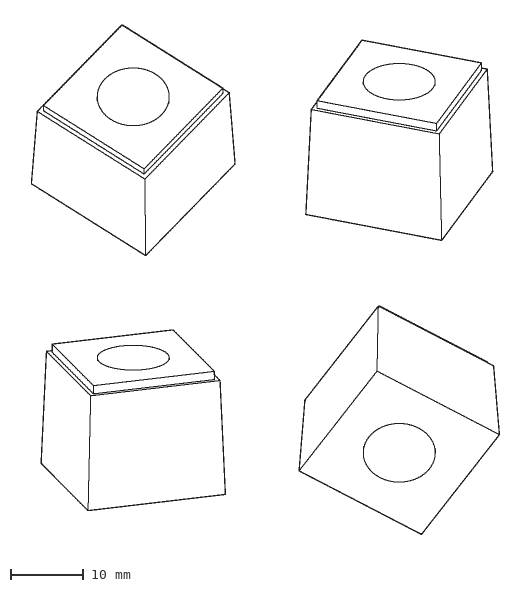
import cadquery as cq

base_side = 19.91
shoulder_side = 18.75
total_height = 17.7

step_side = 17.52
step_height = 1.2
body_height = total_height - step_height

bore_diameter = 9.88


def tapered_body():
    """Square frustum standing on Z = 0."""
    return (
        cq.Workplane("XY")
        .rect(base_side, base_side)
        .workplane(offset=body_height)
        .rect(shoulder_side, shoulder_side)
        .loft(ruled=True)
    )


def top_step():
    """Square plate resting on the shoulder of the body."""
    return (
        cq.Workplane("XY")
        .workplane(offset=body_height)
        .rect(step_side, step_side)
        .extrude(step_height)
    )


def bore():
    """Cylinder running through the full height."""
    return cq.Workplane("XY").circle(bore_diameter / 2).extrude(total_height)


result = tapered_body().union(top_step()).cut(bore())